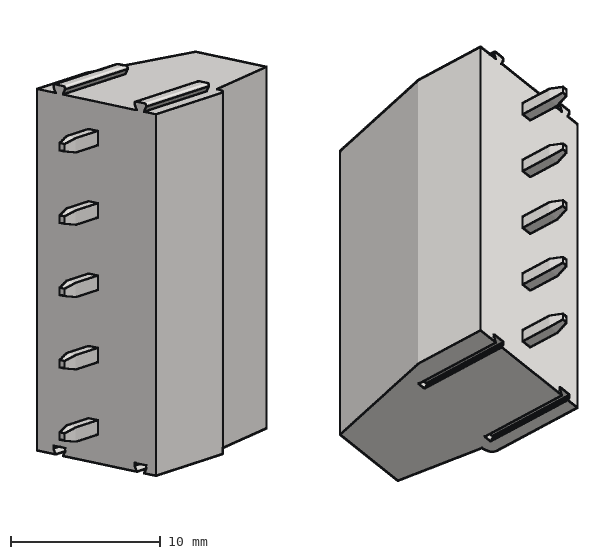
import cadquery as cq


overall_depth = 17.3
overall_height = 25.6

pole_count = 5
rib_height = 0.6
housing_height = overall_height - rib_height
pitch = housing_height / pole_count
housing_width = 10.2
housing_depth = 14.0
left_wall_depth = 5.35
left_slope_run = 2.3
right_slope_run = 1.82
shoulder_width = 0.85
shoulder_depth = 7.55
shoulder_drop = 0.2
shoulder_radius = 0.56

dovetail_positions = (1.92, 8.88)
dovetail_width = 1.0
dovetail_neck = 0.61
dovetail_lip = 0.2
dovetail_length = 6.65
rib_edge_radius = 0.15

pin_x = 4.84
pin_width = 0.8
pin_height = 1.0
pin_length = overall_depth - housing_depth
pin_tip_length = 0.97
pin_tip_width = 0.4
pin_tip_height = 0.5


def make_housing():
    """Prism with a sloped wall on each side and a rounded shoulder on +X."""
    outline = [
        (0, 0),
        (housing_width, 0),
        (housing_width, shoulder_depth - shoulder_drop),
        (housing_width - shoulder_width, shoulder_depth),
        (housing_width - right_slope_run, housing_depth),
        (left_slope_run, housing_depth),
        (0, left_wall_depth),
    ]
    housing = cq.Workplane("XY").polyline(outline).close().extrude(housing_height)
    shoulder_edge = cq.selectors.NearestToPointSelector(
        (housing_width, shoulder_depth - shoulder_drop, housing_height / 2)
    )
    return housing.edges(shoulder_edge).fillet(shoulder_radius)


def make_dovetail(x, base_z):
    """Bar along +Y from the pin face, narrow at base_z and widening upwards."""
    half_neck = dovetail_neck / 2
    half_width = dovetail_width / 2
    lip_z = base_z + rib_height - dovetail_lip
    top_z = base_z + rib_height
    section = [
        (x - half_neck, base_z),
        (x - half_width, lip_z),
        (x - half_width, top_z),
        (x + half_width, top_z),
        (x + half_width, lip_z),
        (x + half_neck, base_z),
    ]
    return cq.Workplane("XZ").polyline(section).close().extrude(-dovetail_length)


def make_rib(x):
    """Dovetail standing on the housing top, with its long top edges rounded."""
    return make_dovetail(x, housing_height).faces(">Z").edges("|Y").fillet(rib_edge_radius)


def make_pin(z):
    """Rectangular pin centred at height z, pointing to -Y with a tapered tip."""
    shank_length = pin_length - pin_tip_length
    shank = cq.Workplane("XZ", origin=(pin_x, 0, z)).rect(pin_width, pin_height).extrude(shank_length)
    tip = (
        cq.Workplane("XZ", origin=(pin_x, -shank_length, z))
        .rect(pin_width, pin_height)
        .workplane(offset=pin_tip_length)
        .rect(pin_tip_width, pin_tip_height)
        .loft(ruled=True)
    )
    return shank.union(tip)


result = make_housing()

for position in dovetail_positions:
    result = result.cut(make_dovetail(position, 0))
    result = result.union(make_rib(position))

for pole in range(pole_count):
    pole_center = (pole + 0.5) * pitch
    result = result.union(make_pin(pole_center))